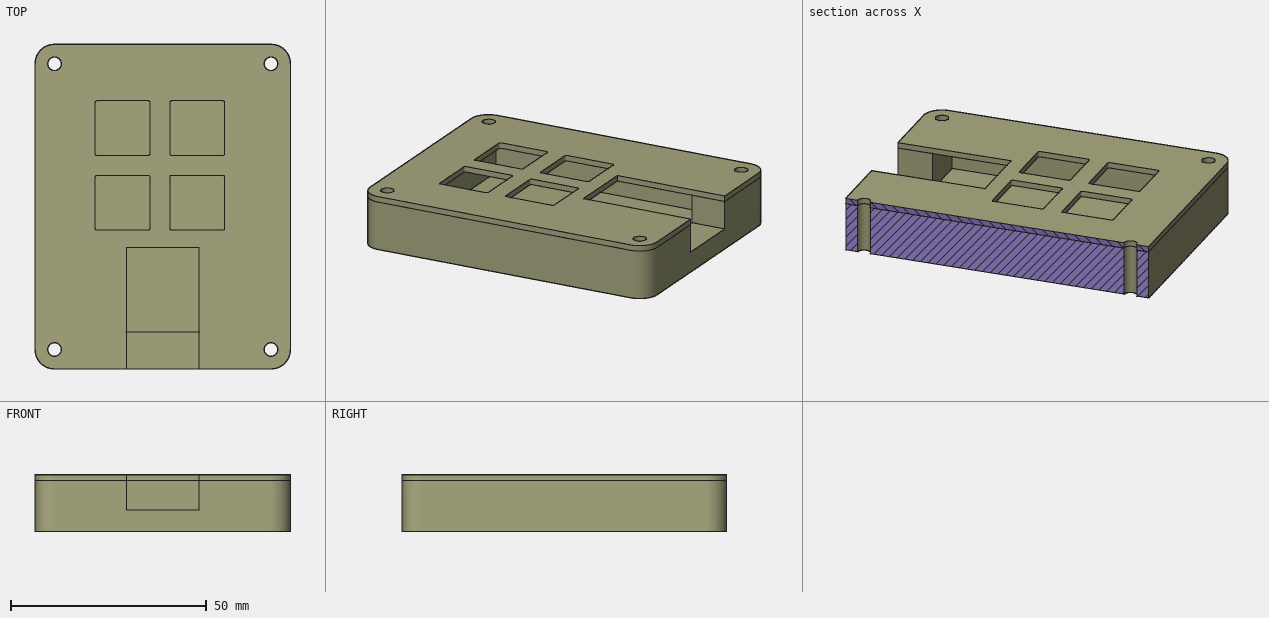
import cadquery as cq

case_width = 65.21
case_length = 82.9
corner_radius = 5.0
base_height = 13.0
plate_thickness = 1.5

cavity_wall = 9.5
floor_thickness = 3.0
cavity_width = case_width - 2 * cavity_wall
cavity_length = case_length - 2 * cavity_wall

slot_width = 18.5
base_slot_floor = 5.5
plate_slot_length = 31.0

screw_diameter = 3.4
screw_spacing_x = case_width - 2 * corner_radius
screw_spacing_y = case_length - 2 * corner_radius

switch_size = 14.0
switch_pitch = 19.05
switch_corner_radius = 0.5
switch_grid_x = -0.72
switch_grid_y = 10.5

front_y = -case_length / 2


def rounded_slab(bottom_z, height):
    """Slab with the case outline and a screw hole in each corner."""
    return (
        cq.Workplane("XY", origin=(0, 0, bottom_z))
        .rect(case_width, case_length)
        .extrude(height)
        .edges("|Z")
        .fillet(corner_radius)
        .faces(">Z")
        .workplane(origin=(0, 0, 0))
        .rarray(screw_spacing_x, screw_spacing_y, 2, 2)
        .hole(screw_diameter)
    )


def front_slot(length, bottom_z, height):
    """Cutter for a centred slot that runs back from the front side."""
    return cq.Workplane("XY", origin=(0, front_y + length / 2, bottom_z)).rect(slot_width, length).extrude(height)


def make_base():
    cavity = (
        cq.Workplane("XY", origin=(0, 0, floor_thickness))
        .rect(cavity_width, cavity_length)
        .extrude(base_height - floor_thickness)
    )
    slot = front_slot(cavity_wall, base_slot_floor, base_height - base_slot_floor)
    return rounded_slab(0, base_height).cut(cavity).cut(slot)


def make_plate():
    switch_openings = (
        cq.Workplane("XY", origin=(switch_grid_x, switch_grid_y, base_height))
        .rarray(switch_pitch, switch_pitch, 2, 2)
        .rect(switch_size, switch_size)
        .extrude(plate_thickness)
        .edges("|Z")
        .fillet(switch_corner_radius)
    )
    slot = front_slot(plate_slot_length, base_height, plate_thickness)
    return rounded_slab(base_height, plate_thickness).cut(switch_openings).cut(slot)


base = make_base()
plate = make_plate()
result = cq.Compound.makeCompound([base.val(), plate.val()])